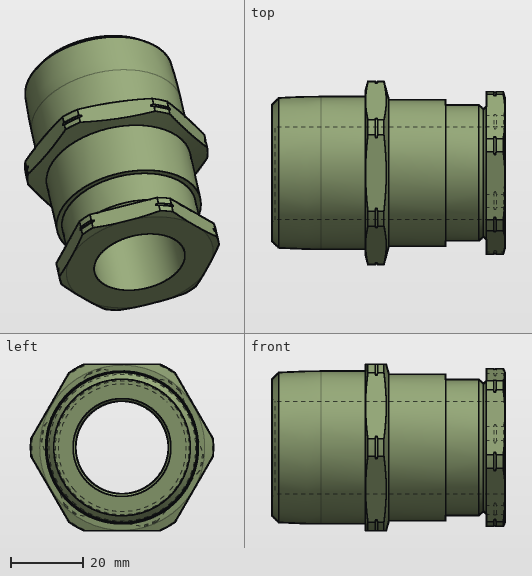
import cadquery as cq
import math


length = 64.4
nose_chamfer = 1.9
nose_end = 13.5
collar_start = 25.8
collar_end = 32.3
neck_start = 48.0
neck_chamfer_start = 57.1
groove_bottom = 58.4
nut_start = 59.25

nose_face_radius = 18.9
nose_radius = 20.75
barrel_radius = 21.1
shank_radius = 20.3
neck_radius = 18.8
groove_radius = 17.65
groove_nut_radius = 18.5

bore_radius = 12.75
bore_chamfer = 0.8

collar_flats = 46.0
collar_across_corners = 50.55
collar_corner_radius = collar_across_corners / 2
collar_front_radius = 22.8
nut_flats = 40.8
nut_corner_radius = 22.55
nut_rear_radius = 20.6
nut_turn = 10.0
bevel_angle = 15.5

mark_radius = 0.3
collar_mark_x = 28.85
nut_mark_x = 61.55


def revolve_about_x(profile):
    """Turn an (x, radius) profile about the X axis."""
    return profile.close().revolve(360, (0, 0, 0), (1, 0, 0))


def bevel_run(outer_radius, inner_radius):
    """Axial length of a corner bevel between two radii."""
    return (outer_radius - inner_radius) * math.tan(math.radians(bevel_angle))


def hexagon(start, end, flats, turn):
    """Hexagonal prism along X; with no turn, its corners point along Y."""
    corner_diameter = flats / math.cos(math.pi / 6)
    prism = cq.Workplane("YZ").polygon(6, corner_diameter).extrude(end - start)
    return prism.rotate((0, 0, 0), (1, 0, 0), turn).translate((start, 0, 0))


def corner_envelope(start, end, corner_radius, end_radius, start_radius=None):
    """Round blank that trims hexagon corners and bevels the end, and the start if given a radius."""
    profile = cq.Workplane("XY").moveTo(start, 0)
    if start_radius is None:
        profile = profile.lineTo(start, corner_radius)
    else:
        profile = profile.lineTo(start, start_radius)
        profile = profile.lineTo(start + bevel_run(corner_radius, start_radius), corner_radius)
    return revolve_about_x(
        profile
        .lineTo(end - bevel_run(corner_radius, end_radius), corner_radius)
        .lineTo(end, end_radius)
        .lineTo(end, 0)
    )


def corner_mark(center_x, corner_radius):
    """Ring that removes the mark groove from the trimmed corners."""
    section = cq.Workplane("XY").center(center_x, corner_radius).circle(mark_radius)
    return section.revolve(360, (0, -corner_radius, 0), (1, -corner_radius, 0))


def turned_body():
    """Outside of the gland; the nose bulges along an arc tangent to the barrel."""
    nose_run = nose_end - nose_chamfer
    nose_drop = barrel_radius - nose_radius
    nose_middle = (nose_end - nose_run / 2, barrel_radius - nose_drop / 4)
    return revolve_about_x(
        cq.Workplane("XY")
        .lineTo(0, nose_face_radius)
        .lineTo(nose_chamfer, nose_radius)
        .threePointArc(nose_middle, (nose_end, barrel_radius))
        .lineTo(collar_start, barrel_radius)
        .lineTo(collar_end, shank_radius)
        .lineTo(neck_start, shank_radius)
        .lineTo(neck_start, neck_radius)
        .lineTo(neck_chamfer_start, neck_radius)
        .lineTo(groove_bottom, groove_radius)
        .lineTo(nut_start, groove_nut_radius)
        .lineTo(length, groove_nut_radius)
        .lineTo(length, 0)
    )


def collar():
    blank = hexagon(collar_start, collar_end, collar_flats, 0)
    envelope = corner_envelope(
        collar_start, collar_end, collar_corner_radius, shank_radius, collar_front_radius
    )
    return blank.intersect(envelope).cut(corner_mark(collar_mark_x, collar_corner_radius))


def nut():
    """End nut, turned slightly and bevelled on its outer face only."""
    blank = hexagon(nut_start, length, nut_flats, nut_turn)
    envelope = corner_envelope(nut_start, length, nut_corner_radius, nut_rear_radius)
    return blank.intersect(envelope).cut(corner_mark(nut_mark_x, nut_corner_radius))


def bore():
    """Through hole with a 45 degree chamfer at the nose."""
    return revolve_about_x(
        cq.Workplane("XY")
        .lineTo(0, bore_radius + bore_chamfer)
        .lineTo(bore_chamfer, bore_radius)
        .lineTo(length, bore_radius)
        .lineTo(length, 0)
    )


result = turned_body().union(collar()).union(nut()).cut(bore())